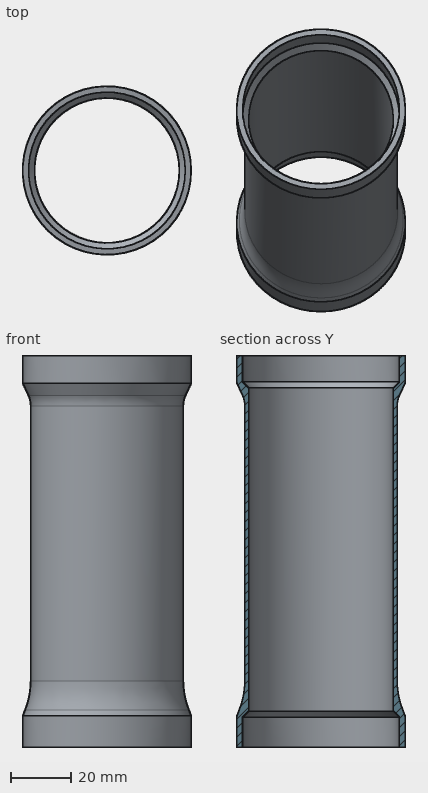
import cadquery as cq
import math

length = 130.0
collar_diameter = 56.0
tube_diameter = 50.8
bore_diameter = 48.0
socket_diameter = 52.0

top_collar_height = 9.2
top_neck_angle = 25.0
top_neck_radius = 8.0

bottom_collar_height = 10.5
bottom_neck_angle = 21.5
bottom_neck_radius = 26.0

socket_setback = 0.5
shoulder_length = 2.0
top_socket_depth = top_collar_height - socket_setback
bottom_socket_depth = bottom_collar_height - socket_setback

collar_r = collar_diameter / 2
tube_r = tube_diameter / 2
bore_r = bore_diameter / 2
socket_r = socket_diameter / 2


def neck_points(collar_height, angle_degrees, radius):
    """Return (r, depth) points from the inner end of the collar to the tube.

    The neck is a cone followed by an arc that is tangent to both cone and tube.
    Depth is measured from the end face of the pipe.
    """
    angle = math.radians(angle_degrees)
    arc_start_r = tube_r + radius * (1 - math.cos(angle))
    cone_length = (collar_r - arc_start_r) / math.tan(angle)
    arc_start_depth = collar_height + cone_length
    arc_end_depth = arc_start_depth + radius * math.sin(angle)
    arc_middle_r = tube_r + radius * (1 - math.cos(angle / 2))
    arc_middle_depth = arc_end_depth - radius * math.sin(angle / 2)
    return (
        (collar_r, collar_height),
        (arc_start_r, arc_start_depth),
        (arc_middle_r, arc_middle_depth),
        (tube_r, arc_end_depth),
    )


def from_top(point):
    """Turn an (r, depth) point below the top face into an (r, z) point."""
    r, depth = point
    return (r, length - depth)


def make_outer_body():
    bottom_edge, bottom_arc_start, bottom_arc_middle, bottom_arc_end = neck_points(
        bottom_collar_height, bottom_neck_angle, bottom_neck_radius
    )
    top_edge, top_arc_start, top_arc_middle, top_arc_end = map(
        from_top, neck_points(top_collar_height, top_neck_angle, top_neck_radius)
    )
    profile = (
        cq.Workplane("XZ")
        .moveTo(0, 0)
        .lineTo(collar_r, 0)
        .lineTo(*bottom_edge)
        .lineTo(*bottom_arc_start)
        .threePointArc(bottom_arc_middle, bottom_arc_end)
        .lineTo(*top_arc_end)
        .threePointArc(top_arc_middle, top_arc_start)
        .lineTo(*top_edge)
        .lineTo(collar_r, length)
        .lineTo(0, length)
        .close()
    )
    return profile.revolve(360, (0, 0), (0, 1))


def make_bore_and_sockets():
    """Return the hollow: the bore, with a socket at each end."""
    top_socket_end = length - top_socket_depth
    profile = (
        cq.Workplane("XZ")
        .moveTo(0, 0)
        .lineTo(socket_r, 0)
        .lineTo(socket_r, bottom_socket_depth)
        .lineTo(bore_r, bottom_socket_depth + shoulder_length)
        .lineTo(bore_r, top_socket_end - shoulder_length)
        .lineTo(socket_r, top_socket_end)
        .lineTo(socket_r, length)
        .lineTo(0, length)
        .close()
    )
    return profile.revolve(360, (0, 0), (0, 1))


result = make_outer_body().cut(make_bore_and_sockets())